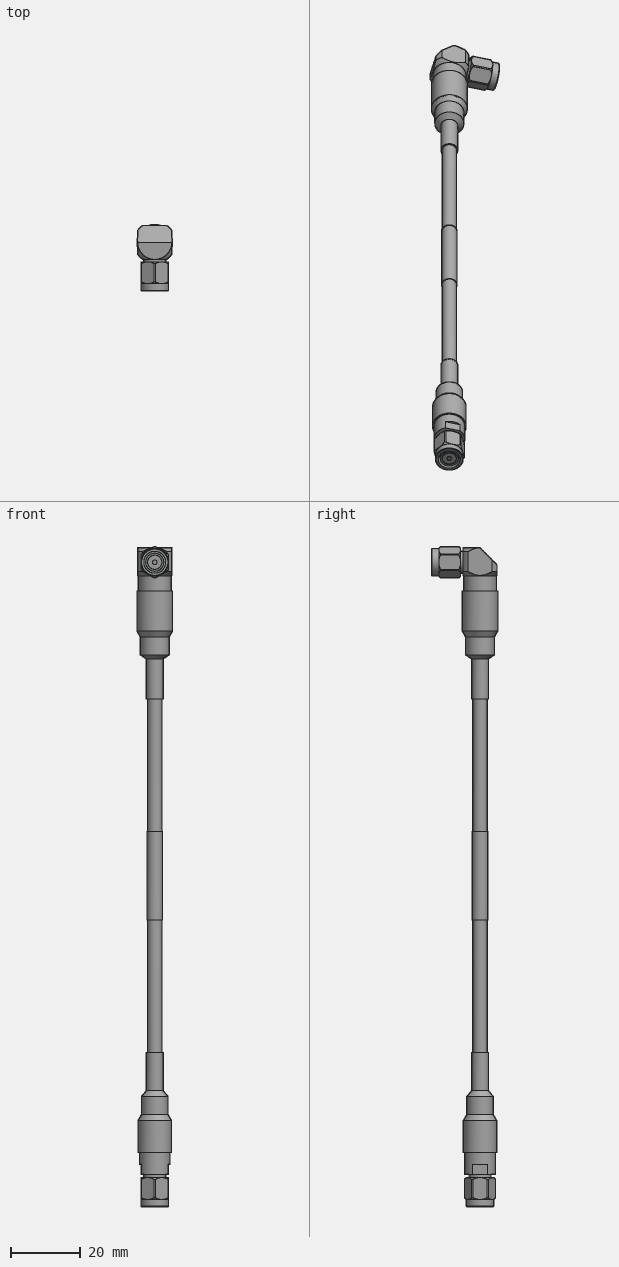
import cadquery as cq
import math


TOP_Z = 94.63
BOTTOM_Z = -95.2
PLUG_FRONT_Y = -13.97

CABLE_RADIUS = 2.1
MARKER_RADIUS = 2.25
MARKER_LENGTH = 25.4

BOOT_SLEEVE_RADIUS = 2.45
BOOT_SLEEVE_END = 50.8
BOOT_CRIMP_END = 63.5
BOOT_CRIMP_SHOULDER = 68.7
BOOT_BODY_SHOULDER = 70.4

ANGLE_BOOT_RADIUS = 5.18
ANGLE_CRIMP_RADIUS = 4.2
ANGLE_SLEEVE_TOP = 62.3
ANGLE_BOOT_END = 81.9

STRAIGHT_BOOT_RADIUS = 4.85
STRAIGHT_CRIMP_RADIUS = 3.85
STRAIGHT_SLEEVE_TOP = 61.8
STRAIGHT_BOOT_END = 79.6

NUT_ACROSS_FLATS = 8.0
NUT_LENGTH = 8.4
NUT_HEX_LENGTH = 6.3
NUT_COLLAR_RADIUS = NUT_ACROSS_FLATS / 2
NUT_SHARP_RADIUS = NUT_ACROSS_FLATS / math.sqrt(3)
NUT_CORNER_RADIUS = 4.5
NUT_BORE_RADIUS = 3.15
NUT_BORE_DEPTH = 3.0
NUT_RIM_CHAMFER = 0.2

BARREL_RADIUS = 2.6
INSULATOR_RADIUS = 2.05
BARREL_RECESS = 0.3
INSULATOR_RECESS = 0.6
PIN_RADIUS = 0.65
PIN_RECESS = 0.3
NECK_RADIUS = 3.2

ELBOW_HALF_WIDTH = 4.9
ELBOW_CORNER_RADIUS = 6.0
ELBOW_BOTTOM_Z = 86.2
ELBOW_TOP_Z = 94.3
ELBOW_TOP_CHAMFER = 1.1
ELBOW_BEVEL_TOP_Y = 0.0
ELBOW_STEM_RADIUS = 4.75
ELBOW_BOTTOM_CHAMFER = ELBOW_CORNER_RADIUS - ELBOW_STEM_RADIUS
PLUG_AXIS_Z = TOP_Z - NUT_CORNER_RADIUS

STRAIGHT_BODY_RADIUS = 4.45
STRAIGHT_BODY_END = 85.9
WRENCH_FLAT_HALF_WIDTH = 3.9
WRENCH_FLAT_START = 83.0


def cylinder(radius, start, end):
    """Round bar on the Z axis between two heights."""
    return cq.Workplane("XY").workplane(offset=start).circle(radius).extrude(end - start)


def make_plug_front(neck_end):
    """Nut, neck and contacts along +Z, with the open face at Z = 0 and the neck reaching neck_end."""
    hexagon_start = NUT_LENGTH - NUT_HEX_LENGTH
    hexagon = (
        cq.Workplane("XY")
        .workplane(offset=hexagon_start)
        .polygon(6, 2 * NUT_SHARP_RADIUS)
        .extrude(NUT_HEX_LENGTH)
        .rotate((0, 0, 0), (0, 0, 1), 30)
    )
    corner_chamfer = NUT_CORNER_RADIUS - NUT_COLLAR_RADIUS
    corner_limit = (
        cq.Workplane("XZ")
        .moveTo(0, hexagon_start)
        .lineTo(NUT_COLLAR_RADIUS, hexagon_start)
        .lineTo(NUT_CORNER_RADIUS, hexagon_start + corner_chamfer)
        .lineTo(NUT_CORNER_RADIUS, NUT_LENGTH - corner_chamfer)
        .lineTo(NUT_COLLAR_RADIUS, NUT_LENGTH)
        .lineTo(0, NUT_LENGTH)
        .close()
        .revolve(360, (0, 0, 0), (0, 1, 0))
    )
    collar = cylinder(NUT_COLLAR_RADIUS, 0, hexagon_start).faces("<Z").edges().chamfer(NUT_RIM_CHAMFER)
    nut = hexagon.intersect(corner_limit).union(collar).cut(cylinder(NUT_BORE_RADIUS, 0, NUT_BORE_DEPTH))
    barrel = cylinder(BARREL_RADIUS, BARREL_RECESS, NUT_LENGTH)
    barrel = barrel.cut(cylinder(INSULATOR_RADIUS, BARREL_RECESS, INSULATOR_RECESS))
    pin = cylinder(PIN_RADIUS, PIN_RECESS, NUT_LENGTH)
    neck = cylinder(NECK_RADIUS, NUT_LENGTH, neck_end)
    return nut.union(barrel).union(pin).union(neck)


def make_cable():
    """Cable jacket with the raised marker band at its middle."""
    jacket = cylinder(CABLE_RADIUS, -BOOT_BODY_SHOULDER, BOOT_BODY_SHOULDER)
    return jacket.union(cylinder(MARKER_RADIUS, -MARKER_LENGTH / 2, MARKER_LENGTH / 2))


def make_boot(body_radius, crimp_radius, sleeve_top, end, held_radius):
    """Boot around +Z: sleeve on the cable, crimp step, then the wide body around the plug."""
    outside = (
        cq.Workplane("XZ")
        .moveTo(0, BOOT_SLEEVE_END)
        .lineTo(BOOT_SLEEVE_RADIUS, BOOT_SLEEVE_END)
        .lineTo(BOOT_SLEEVE_RADIUS, sleeve_top)
        .lineTo(crimp_radius, BOOT_CRIMP_END)
        .lineTo(crimp_radius, BOOT_CRIMP_SHOULDER)
        .lineTo(body_radius, BOOT_BODY_SHOULDER)
        .lineTo(body_radius, end)
        .lineTo(0, end)
        .close()
        .revolve(360, (0, 0, 0), (0, 1, 0))
    )
    cable_bore = cylinder(CABLE_RADIUS, BOOT_SLEEVE_END, BOOT_BODY_SHOULDER)
    plug_bore = cylinder(held_radius, BOOT_BODY_SHOULDER, end)
    return outside.cut(cable_bore).cut(plug_bore)


def make_angle_plug():
    """Right-angle plug: round stem, squared elbow with a bevelled back, and a plug facing -Y."""
    stem = cylinder(ELBOW_STEM_RADIUS, BOOT_BODY_SHOULDER, ELBOW_BOTTOM_Z)
    turned = cylinder(ELBOW_CORNER_RADIUS, ELBOW_BOTTOM_Z, ELBOW_TOP_Z)
    turned = turned.faces(">Z").edges().chamfer(ELBOW_TOP_CHAMFER)
    turned = turned.faces("<Z").edges().chamfer(ELBOW_BOTTOM_CHAMFER)
    bevel_drop = ELBOW_HALF_WIDTH - ELBOW_BEVEL_TOP_Y
    side_outline = (
        cq.Workplane("YZ")
        .moveTo(-ELBOW_HALF_WIDTH, ELBOW_BOTTOM_Z)
        .lineTo(ELBOW_HALF_WIDTH, ELBOW_BOTTOM_Z)
        .lineTo(ELBOW_HALF_WIDTH, ELBOW_TOP_Z - bevel_drop)
        .lineTo(ELBOW_BEVEL_TOP_Y, ELBOW_TOP_Z)
        .lineTo(-ELBOW_HALF_WIDTH, ELBOW_TOP_Z)
        .close()
        .extrude(ELBOW_HALF_WIDTH, both=True)
    )
    elbow = turned.intersect(side_outline)
    front = make_plug_front(-PLUG_FRONT_Y)
    front = front.rotate((0, 0, 0), (1, 0, 0), -90).translate((0, PLUG_FRONT_Y, PLUG_AXIS_Z))
    return stem.union(elbow).union(front)


def make_straight_plug():
    """Straight plug: round rear body with two wrench flats and a plug facing -Z."""
    body = cylinder(STRAIGHT_BODY_RADIUS, -STRAIGHT_BODY_END, -BOOT_BODY_SHOULDER)
    flat_height = STRAIGHT_BODY_END - WRENCH_FLAT_START
    for side in (-1, 1):
        waste = cq.Workplane("XY").box(
            STRAIGHT_BODY_RADIUS, 2 * STRAIGHT_BODY_RADIUS, flat_height, centered=(True, True, False)
        )
        waste_x = side * (WRENCH_FLAT_HALF_WIDTH + STRAIGHT_BODY_RADIUS / 2)
        body = body.cut(waste.translate((waste_x, 0, -STRAIGHT_BODY_END)))
    front = make_plug_front(-BOTTOM_Z - STRAIGHT_BODY_END).translate((0, 0, BOTTOM_Z))
    return body.union(front)


cable = make_cable()
angle_boot = make_boot(
    ANGLE_BOOT_RADIUS, ANGLE_CRIMP_RADIUS, ANGLE_SLEEVE_TOP, ANGLE_BOOT_END, ELBOW_STEM_RADIUS
)
straight_boot = make_boot(
    STRAIGHT_BOOT_RADIUS, STRAIGHT_CRIMP_RADIUS, STRAIGHT_SLEEVE_TOP, STRAIGHT_BOOT_END, STRAIGHT_BODY_RADIUS
).rotate((0, 0, 0), (1, 0, 0), 180)
angle_plug = make_angle_plug()
straight_plug = make_straight_plug()

bodies = [cable, angle_boot, straight_boot, angle_plug, straight_plug]
result = cq.Compound.makeCompound([body.solids().val() for body in bodies])